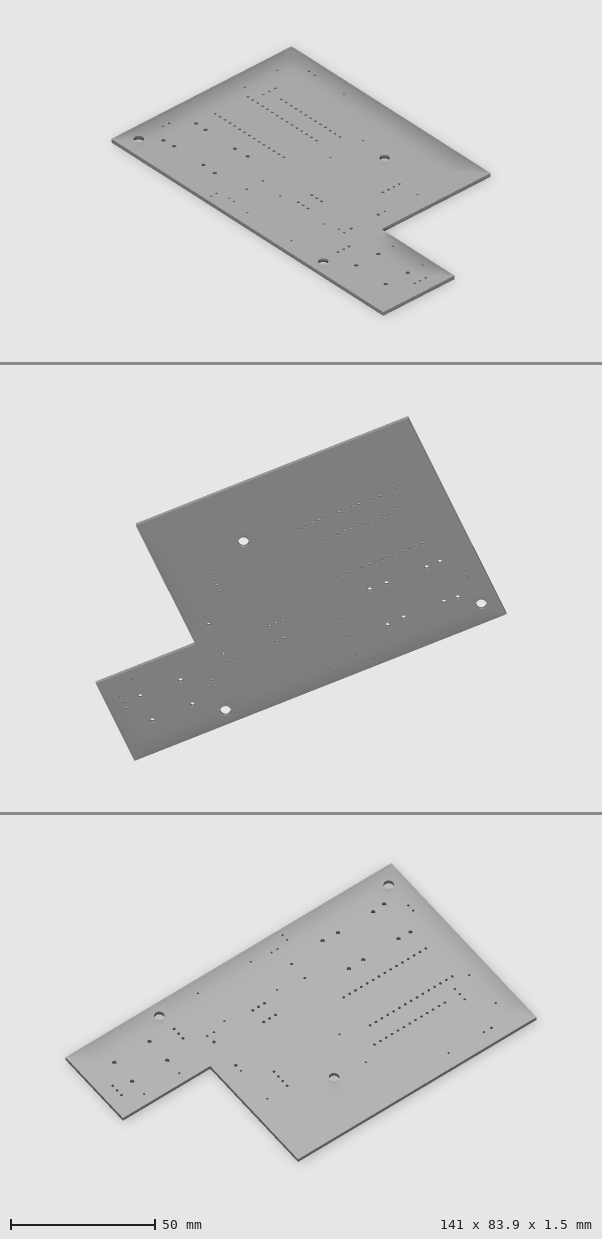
import cadquery as cq

length = 141.0
width = 83.9
thickness = 1.5
wide_part_length = 103.2
tail_width = 33.1

wire_lead_diameter = 0.8
bent_lead_diameter = 0.9
socket_pin_diameter = 1.0
heavy_pin_diameter = 1.1
thick_lead_diameter = 1.2
large_pin_diameter = 1.5
mounting_diameter = 3.7

pin_pitch = 2.5
bent_lead_pitch = 2.8
lead_span = 6 * pin_pitch


def row(x, y, count, step=pin_pitch):
    """Hole centres running in +X from (x, y)."""
    return [(x + i * step, y) for i in range(count)]


def column(x, y, count, step=pin_pitch):
    """Hole centres running in +Y from (x, y)."""
    return [(x, y + i * step) for i in range(count)]


def rectangle(x, y, size_x, size_y):
    """Corner centres of a rectangle whose lower left corner is (x, y)."""
    return column(x, y, 2, size_y) + column(x + size_x, y, 2, size_y)


def drill(board, diameter, centres):
    """Drill plain through holes of one diameter at the given centres."""
    drills = cq.Workplane("XY").pushPoints(centres).circle(diameter / 2).extrude(thickness)
    return board.cut(drills)


outline = [
    (0, 0),
    (length, 0),
    (length, tail_width),
    (wide_part_length, tail_width),
    (wide_part_length, width),
    (0, width),
]
board = cq.Workplane("XY").polyline(outline).close().extrude(thickness)

mounting_centres = [(6.3, 7.0), (71.8, 62.7), (104.2, 5.1)]
board = drill(board, mounting_diameter, mounting_centres)

wire_lead_centres = (
    row(18.5, 78.1, 2, lead_span)
    + row(113.6, 29.2, 2, lead_span)
    + column(7.6, 55.3, 2, lead_span)
    + column(59.0, 48.9, 2, lead_span)
    + column(64.7, 5.2, 2, lead_span)
    + column(87.5, 5.2, 2, lead_span)
    + column(95.9, 41.2, 2, lead_span)
    + column(48.9, 2.5, 2)
    + row(54.0, 6.3, 2)
)
board = drill(board, wire_lead_diameter, wire_lead_centres)

bent_lead_centres = (
    column(15.2, 57.1, 3, bent_lead_pitch)
    + column(6.3, 18.3, 2, bent_lead_pitch)
    + row(93.3, 22.1, 2, bent_lead_pitch)
)
board = drill(board, bent_lead_diameter, bent_lead_centres)

socket_x = 12.7
socket_y = 37.0
socket_row_pins = 15
socket_centres = row(socket_x, socket_y, socket_row_pins)
socket_centres += row(socket_x, socket_y + lead_span, socket_row_pins)
board = drill(board, socket_pin_diameter, socket_centres)

header_centres = (
    row(21.5, 59.8, 13)
    + column(87.0, 48.4, 4)
    + column(135.3, 19.7, 3)
    + column(54.0, 14.5, 2, 3 * pin_pitch)
    + [(15.2, 78.2)]
)
board = drill(board, socket_pin_diameter, header_centres)

double_row_x = 71.8
heavy_pin_centres = row(double_row_x, 22.5, 3) + row(double_row_x, 28.9, 3) + column(103.5, 12.7, 3)
board = drill(board, heavy_pin_diameter, heavy_pin_centres)

thick_lead_centres = column(95.9, 25.5, 2, 5 * pin_pitch)
board = drill(board, thick_lead_diameter, thick_lead_centres)

large_pin_centres = (
    rectangle(12.7, 12.8, 26.6, lead_span)
    + rectangle(17.8, 13.3, lead_span, 14.7)
    + rectangle(113.6, 12.0, lead_span, 10.3)
)
board = drill(board, large_pin_diameter, large_pin_centres)

result = board